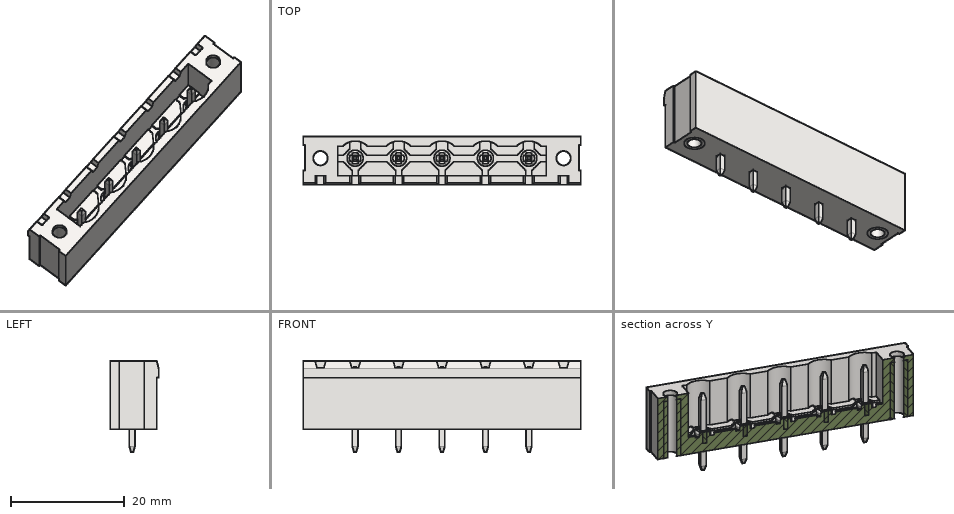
import cadquery as cq


length = 48.7
height = 12.0
back_y = 3.85
body_front_y = -4.35
lip_front_y = -4.65
lip_height = 2.9
lip_chamfer_height = 1.3
end_recess_depth = 0.3
end_recess_back_y = 2.3
end_recess_front_y = -2.15

pin_count = 5
pin_span = 30.45
pitch = pin_span / (pin_count - 1)
pin_xs = [-pin_span / 2 + i * pitch for i in range(pin_count)]

floor_z = 3.4
socket_end_margin = 3.0
socket_length = pin_span + 2 * socket_end_margin
socket_back_y = 2.15
socket_front_y = -3.1
scallop_radius = 3.0

groove_depth = 0.4
groove_back_y = 0.55
groove_front_y = -0.65
groove_flare_half = 2.05
back_branch_half = 0.95
front_branch_half = 0.55

collar_diameter = 2.8
collar_flat_diameter = 2.0
collar_rounding = (collar_diameter - collar_flat_diameter) / 2
collar_top_z = floor_z + 0.5

notch_top_width = 1.9
notch_bottom_width = 1.2
notch_depth = 1.15

pin_width = 1.0
pin_bottom_z = -4.0
pin_top_z = 11.0
tip_width = 0.45
tip_length = 1.0
cross_bottom_z = floor_z / 2

mount_x = 21.3
bore_diameter = 2.5
sleeve_diameter = 3.65
sleeve_top_z = height - 0.92


def box(x_min, x_max, y_min, y_max, z_min, z_max):
    size = (x_max - x_min, y_max - y_min, z_max - z_min)
    return cq.Workplane("XY").box(*size, centered=False).translate((x_min, y_min, z_min))


def cylinder(x, diameter, z_min, z_max):
    return cq.Workplane("XY", origin=(x, 0, z_min)).circle(diameter / 2).extrude(z_max - z_min)


def square_bar(x, z_min, z_max):
    half = pin_width / 2
    return box(x - half, x + half, -half, half, z_min, z_max)


def pin_tip(x, z_base, direction):
    """Tapered pin end that points up (direction 1) or down (direction -1)."""
    return (
        cq.Workplane("XY", origin=(x, 0, z_base))
        .rect(pin_width, pin_width)
        .workplane(offset=direction * tip_length)
        .rect(tip_width, tip_width)
        .loft(ruled=True)
    )


def anchor_cross(x):
    """Cross-shaped stretch of a pin, as wide as the flat top of its collar."""
    reach = collar_flat_diameter / 2
    half = pin_width / 2
    along_x = box(x - reach, x + reach, -half, half, cross_bottom_z, collar_top_z)
    along_y = box(x - half, x + half, -reach, reach, cross_bottom_z, collar_top_z)
    envelope = cylinder(x, collar_flat_diameter, cross_bottom_z, collar_top_z)
    return along_x.union(along_y).intersect(envelope)


def make_pin(x):
    shaft_bottom_z = pin_bottom_z + tip_length
    shaft_top_z = pin_top_z - tip_length
    return (
        square_bar(x, shaft_bottom_z, shaft_top_z)
        .union(pin_tip(x, shaft_top_z, 1))
        .union(pin_tip(x, shaft_bottom_z, -1))
        .union(anchor_cross(x))
    )


def make_sleeve(x):
    return cylinder(x, sleeve_diameter, 0, sleeve_top_z).cut(cylinder(x, bore_diameter, 0, sleeve_top_z))


def housing_block():
    """Side profile with the chamfered front lip, swept along X, with a recess in each end."""
    profile = [
        (back_y, 0),
        (back_y, height),
        (body_front_y, height),
        (lip_front_y, height - lip_chamfer_height),
        (lip_front_y, height - lip_height),
        (body_front_y, height - lip_height),
        (body_front_y, 0),
    ]
    block = cq.Workplane("YZ").polyline(profile).close().extrude(length / 2, both=True)
    for end_x in (-length / 2, length / 2):
        block = block.cut(
            box(
                end_x - end_recess_depth,
                end_x + end_recess_depth,
                end_recess_front_y,
                end_recess_back_y,
                0,
                height,
            )
        )
    return block


def socket_space():
    """Open socket with a round scallop behind each pin."""
    half = socket_length / 2
    space = box(-half, half, socket_front_y, socket_back_y, floor_z, height)
    behind_front_wall = box(-half, half, 0, back_y, floor_z, height)
    for x in pin_xs:
        scallop = cylinder(x, 2 * scallop_radius, floor_z, height)
        space = space.union(scallop.intersect(behind_front_wall))
    return space


def groove_branches(x):
    """Widened groove around one pin, with a branch to the back wall and one to the front wall."""
    back_bend_y = groove_back_y + groove_flare_half - back_branch_half
    front_bend_y = groove_front_y - (groove_flare_half - front_branch_half)
    half_outline = [
        (back_branch_half, back_y),
        (back_branch_half, back_bend_y),
        (groove_flare_half, groove_back_y),
        (groove_flare_half, groove_front_y),
        (front_branch_half, front_bend_y),
        (front_branch_half, socket_front_y),
    ]
    mirrored = [(-px, py) for px, py in reversed(half_outline)]
    return (
        cq.Workplane("XY", origin=(x, 0, floor_z - groove_depth))
        .polyline(half_outline + mirrored)
        .close()
        .extrude(groove_depth)
    )


def floor_grooves():
    half = socket_length / 2
    groove_bottom_z = floor_z - groove_depth
    grooves = box(-half, half, groove_front_y, groove_back_y, groove_bottom_z, floor_z)
    for x in pin_xs:
        grooves = grooves.union(groove_branches(x))
    return grooves.intersect(socket_space().translate((0, 0, -groove_depth)))


def collar(x):
    post = cylinder(x, collar_diameter, floor_z - groove_depth, collar_top_z)
    return post.faces(">Z").edges().fillet(collar_rounding)


def wall_notch(x):
    """Tapered notch across the front wall, open to the top and the front."""
    top_half = notch_top_width / 2
    bottom_half = notch_bottom_width / 2
    floor = height - notch_depth
    profile = [
        (x - top_half, height),
        (x + top_half, height),
        (x + bottom_half, floor),
        (x - bottom_half, floor),
    ]
    return (
        cq.Workplane("XZ", origin=(0, socket_front_y, 0))
        .polyline(profile)
        .close()
        .extrude(socket_front_y - lip_front_y)
    )


def make_housing():
    housing = housing_block().cut(socket_space()).cut(floor_grooves())
    for x in pin_xs:
        housing = housing.union(collar(x))
        housing = housing.cut(square_bar(x, 0, collar_top_z)).cut(anchor_cross(x))
    for x in (-mount_x, mount_x):
        housing = housing.cut(cylinder(x, sleeve_diameter, 0, sleeve_top_z))
        housing = housing.cut(cylinder(x, bore_diameter, sleeve_top_z, height))
    for x in pin_xs + [-mount_x, mount_x]:
        housing = housing.cut(wall_notch(x))
    return housing


housing = make_housing()
pins = [make_pin(x) for x in pin_xs]
sleeves = [make_sleeve(x) for x in (-mount_x, mount_x)]

result = cq.Compound.makeCompound([body.val() for body in [housing, *pins, *sleeves]])